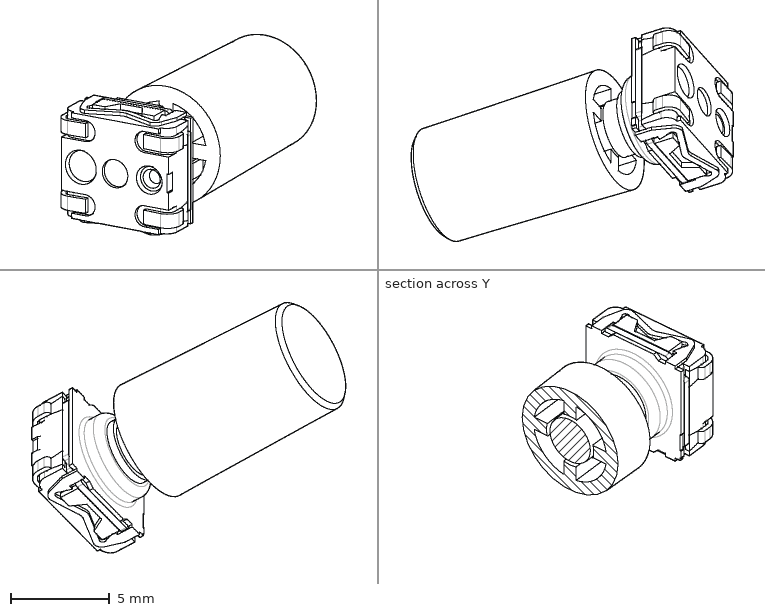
import cadquery as cq
import math

base_bottom = 0.1
recess_top = 0.3
base_top = 2.0
rim_top = 2.37
plate_top = 2.6
dome_top = 3.77
collar_top = 4.17
shoulder_top = 5.11
cap_bottom = 5.2
cap_top = 15.4

base_half_x = 3.14
base_half_z = 2.82
rim_half_x = 3.13
rim_corner_x = 2.79
rim_step_start_z = 1.97
rim_step_end_z = 2.25
rim_corner_radius = 0.18
rim_bulge_half_x = 2.05
rim_bulge_z = 3.1
rim_bulge_radius = 0.18
hook_half_x = 1.8
hook_bottom = 0.92
hook_z = 3.14
hook_notch_top = 1.72
hook_notch_half_top = 0.65
hook_notch_half_bottom = 1.08
corner_radius = 0.6
corner_inner_z = 1.42
foot_recess_outer_z = 2.54
foot_recess_end_x = 1.17
mark_x = 2.0
large_mark_diameter = 1.8
large_mark_floor_diameter = 1.65
large_mark_depth = 0.25
centre_mark_diameter = 1.5
centre_mark_depth = 0.2
stepped_mark_diameter = 1.5
stepped_mark_floor_diameter = 1.31
stepped_mark_depth = 0.25
pilot_diameter = 1.0
pilot_floor_diameter = 0.72
pilot_depth = 0.38
side_notch_depth = 0.11
side_notch_inner_top = 0.7
side_notch_outer_top = 0.46
side_notch_length = 0.99

plate_half_x = 3.1
tab_half_base = 1.62
tab_half_tip = 1.31
tab_z = 3.1
plate_notch_spans = ((-2.19, -1.19), (-base_half_z, -2.65))
plate_notch_depth = 0.06
dome_diameter = 4.7
dome_round = 0.42
dome_foot_round = 0.18
clip_outer_z = 3.0
clip_thickness = clip_outer_z - base_half_z
leg_outer_x = 2.71
leg_inner_x = 2.06
leg_bottom = 1.68

terminal_z = 2.02
terminal_width = 0.75
terminal_thickness = 0.25
terminal_outer_x = 3.4
bend_radius = 0.68
foot_end_x = 1.7
foot_end_lift = 0.05
arm_top = 1.31
arm_top_round = 0.26
tongue_bottom = 1.02
tongue_top_width = 1.0

collar_diameter = 3.5
shoulder_diameter = 2.95
stem_diameter = 2.65
stem_top = 9.24

cap_bottom_diameter = 6.35
cap_upper_diameter = 5.99
cap_chamfer_width = 0.23
cap_chamfer_height = 0.25
cap_cavity_diameter = 4.7
cap_cavity_depth = 3.0
rib_width = 0.8
rib_bore_diameter = 3.03


def at_level(y):
    """Workplane across the Y axis: local x is X, local y is Z; extrude negative to go up Y."""
    return cq.Workplane("XZ", origin=(0, y, 0))


def turned(points):
    """Solid of revolution about the Y axis from (radius, y) points."""
    return cq.Workplane("XY").polyline(points).close().revolve(360, (0, 0), (0, 1))


def both_z_sides(body):
    return body.union(body.mirror("XY"))


def tapered_mark(x, y, mouth_diameter, floor_diameter, depth):
    """Round recess cutter going up from level y, narrowing to its floor."""
    mouth = mouth_diameter / 2
    floor = floor_diameter / 2
    profile = [(0, y), (mouth, y), (floor, y + depth), (0, y + depth)]
    return turned(profile).translate((x, 0, 0))


def make_terminal():
    """Terminal of the +X, +Z corner: tongue in the base wall, outer arm, bend and foot."""
    inner_radius = bend_radius - terminal_thickness
    bend_x = terminal_outer_x - bend_radius
    diagonal = math.sqrt(0.5)
    arm_inner_x = terminal_outer_x - terminal_thickness
    tongue_inner_x = base_half_x - terminal_thickness
    arm = (
        cq.Workplane("XY", origin=(0, 0, terminal_z - terminal_width / 2))
        .moveTo(tongue_inner_x, arm_top)
        .lineTo(terminal_outer_x - arm_top_round, arm_top)
        .radiusArc((terminal_outer_x, arm_top - arm_top_round), arm_top_round)
        .lineTo(terminal_outer_x, bend_radius)
        .threePointArc(
            (bend_x + bend_radius * diagonal, bend_radius * (1 - diagonal)),
            (bend_x, 0),
        )
        .lineTo(foot_end_x, foot_end_lift)
        .lineTo(foot_end_x, terminal_thickness + foot_end_lift)
        .lineTo(bend_x, terminal_thickness)
        .threePointArc(
            (bend_x + inner_radius * diagonal, bend_radius - inner_radius * diagonal),
            (arm_inner_x, bend_radius),
        )
        .lineTo(arm_inner_x, tongue_bottom)
        .lineTo(tongue_inner_x, tongue_bottom)
        .close()
        .extrude(terminal_width)
    )
    tongue = (
        cq.Workplane("YZ", origin=(tongue_inner_x, 0, terminal_z))
        .polyline([
            (base_top, -tongue_top_width / 2),
            (base_top, tongue_top_width / 2),
            (arm_top, terminal_width / 2),
            (arm_top, -terminal_width / 2),
        ])
        .close()
        .extrude(terminal_thickness)
    )
    return arm.union(tongue)


def make_clip():
    """Flat spring clip on the +Z side: two legs joined by a zigzag beam."""
    tooth_x = 1.82
    outer_bottom = (1.91, 0.32)
    outer_corner = (2.37, 0.68)
    outer_mid = (2.19, 0.42)
    outer_peak = (0.18, 0.92)
    outer_peak_mid_y = 0.95
    inner_side = (2.03, 1.02)
    inner_mid = (2.03, 0.75)
    inner_bottom = (1.85, 0.71)
    inner_peak = (0.18, 1.3)
    inner_peak_mid_y = 1.32

    def left(point):
        return (-point[0], point[1])

    return (
        cq.Workplane("XY", origin=(0, 0, base_half_z))
        .moveTo(-leg_outer_x, plate_top)
        .lineTo(-leg_outer_x, leg_bottom)
        .lineTo(*left(outer_corner))
        .threePointArc(left(outer_mid), left(outer_bottom))
        .lineTo(*left(outer_peak))
        .threePointArc((0, outer_peak_mid_y), outer_peak)
        .lineTo(*outer_bottom)
        .threePointArc(outer_mid, outer_corner)
        .lineTo(leg_outer_x, leg_bottom)
        .lineTo(leg_outer_x, plate_top)
        .lineTo(leg_inner_x, plate_top)
        .lineTo(leg_inner_x, leg_bottom)
        .lineTo(tooth_x, leg_bottom)
        .lineTo(*inner_side)
        .threePointArc(inner_mid, inner_bottom)
        .lineTo(*inner_peak)
        .threePointArc((0, inner_peak_mid_y), left(inner_peak))
        .lineTo(*left(inner_bottom))
        .threePointArc(left(inner_mid), left(inner_side))
        .lineTo(-tooth_x, leg_bottom)
        .lineTo(-leg_inner_x, leg_bottom)
        .lineTo(-leg_inner_x, plate_top)
        .close()
        .extrude(clip_thickness)
    )


def make_dome():
    radius = dome_diameter / 2
    diagonal = math.sqrt(0.5)
    foot_inset = dome_foot_round * (1 - diagonal)
    round_inset = dome_round * (1 - diagonal)
    return (
        cq.Workplane("XY")
        .moveTo(0, plate_top)
        .lineTo(radius + dome_foot_round, plate_top)
        .threePointArc((radius + foot_inset, plate_top + foot_inset), (radius, plate_top + dome_foot_round))
        .lineTo(radius, dome_top - dome_round)
        .threePointArc((radius - round_inset, dome_top - round_inset), (radius - dome_round, dome_top))
        .lineTo(0, dome_top)
        .close()
        .revolve(360, (0, 0), (0, 1))
    )


def make_cover():
    thickness = plate_top - rim_top
    plate = at_level(rim_top).rect(2 * plate_half_x, 2 * base_half_z).extrude(-thickness)
    for from_z, to_z in plate_notch_spans:
        notch = (
            at_level(rim_top)
            .center(-plate_half_x, (from_z + to_z) / 2)
            .rect(2 * plate_notch_depth, to_z - from_z)
            .extrude(-thickness)
        )
        plate = plate.cut(notch)
    tab = (
        at_level(rim_top)
        .polyline([
            (-tab_half_base, base_half_z),
            (-tab_half_tip, tab_z),
            (tab_half_tip, tab_z),
            (tab_half_base, base_half_z),
        ])
        .close()
        .extrude(-thickness)
    )
    sides = both_z_sides(tab.union(make_clip()))
    return plate.union(sides).union(make_dome())


def make_rim():
    height = rim_top - base_top
    step_mid_x = (rim_half_x + rim_corner_x) / 2
    step_mid_z = (rim_step_start_z + rim_step_end_z) / 2
    quarter = (
        at_level(base_top)
        .lineTo(rim_half_x, 0)
        .lineTo(rim_half_x, rim_step_start_z)
        .tangentArcPoint((step_mid_x, step_mid_z), relative=False)
        .tangentArcPoint((rim_corner_x, rim_step_end_z), relative=False)
        .lineTo(0, rim_step_end_z)
        .close()
        .extrude(-height)
    )
    half = both_z_sides(quarter)
    middle = half.union(half.mirror("YZ"))
    ends = at_level(base_top).rect(2 * rim_corner_x, 2 * base_half_z).extrude(-height)
    ends = ends.edges("|Y").fillet(rim_corner_radius)
    bulge = at_level(base_top).rect(2 * rim_bulge_half_x, 2 * rim_bulge_z).extrude(-height)
    bulge = bulge.edges("|Y").fillet(rim_bulge_radius)
    return middle.union(ends).union(bulge)


def make_hook():
    """Notched retaining block on the +Z wall."""
    return (
        cq.Workplane("XY", origin=(0, 0, base_half_z))
        .polyline([
            (-hook_half_x, base_top),
            (-hook_half_x, hook_bottom),
            (-hook_notch_half_bottom, hook_bottom),
            (-hook_notch_half_top, hook_notch_top),
            (hook_notch_half_top, hook_notch_top),
            (hook_notch_half_bottom, hook_bottom),
            (hook_half_x, hook_bottom),
            (hook_half_x, base_top),
        ])
        .close()
        .extrude(hook_z - base_half_z)
    )


def make_corner_recess():
    """Cutter for the +X, +Z corner: rounded base corner and the round-ended foot recess."""
    inner_x = base_half_x - corner_radius
    diagonal = corner_radius * math.sqrt(0.5)
    corner = (
        cq.Workplane("XY", origin=(0, 0, corner_inner_z))
        .moveTo(inner_x, 0)
        .lineTo(inner_x, recess_top)
        .threePointArc(
            (inner_x + diagonal, recess_top + corner_radius - diagonal),
            (base_half_x, recess_top + corner_radius),
        )
        .lineTo(base_half_x, 0)
        .close()
        .extrude(base_half_z - corner_inner_z)
    )
    width = foot_recess_outer_z - corner_inner_z
    length = 2 * (inner_x - foot_recess_end_x)
    foot = (
        at_level(0)
        .center(inner_x, corner_inner_z + width / 2)
        .slot2D(length, width)
        .extrude(-recess_top)
    )
    foot = foot.intersect(cq.Workplane("XY").box(2 * inner_x, 2 * base_top, 2 * base_half_z))
    return corner.union(foot)


def make_underside_marks():
    large = tapered_mark(
        -mark_x, base_bottom, large_mark_diameter, large_mark_floor_diameter, large_mark_depth)
    centre = tapered_mark(
        0, base_bottom, centre_mark_diameter, centre_mark_diameter, centre_mark_depth)
    stepped = tapered_mark(
        mark_x, base_bottom, stepped_mark_diameter, stepped_mark_floor_diameter, stepped_mark_depth)
    pilot = tapered_mark(
        mark_x, base_bottom + stepped_mark_depth, pilot_diameter, pilot_floor_diameter, pilot_depth)
    return large.union(centre).union(stepped).union(pilot)


def make_side_notch():
    """Shallow notch at the bottom of the +X wall, under a sloping roof."""
    inner_x = base_half_x - side_notch_depth
    return (
        cq.Workplane("XY", origin=(0, 0, -side_notch_length / 2))
        .polyline([
            (inner_x, base_bottom),
            (inner_x, side_notch_inner_top),
            (base_half_x, side_notch_outer_top),
            (base_half_x, base_bottom),
        ])
        .close()
        .extrude(side_notch_length)
    )


def make_housing():
    base = at_level(base_bottom).rect(2 * base_half_x, 2 * base_half_z).extrude(base_bottom - base_top)
    body = base.union(make_rim()).union(both_z_sides(make_hook()))
    recesses = both_z_sides(make_corner_recess())
    body = body.cut(recesses).cut(recesses.mirror("YZ"))
    return body.cut(make_underside_marks()).cut(make_side_notch())


def make_stem():
    collar = collar_diameter / 2
    shoulder = shoulder_diameter / 2
    stem = stem_diameter / 2
    return turned([
        (0, dome_top),
        (collar, dome_top),
        (collar, collar_top),
        (shoulder, collar_top),
        (shoulder, shoulder_top),
        (stem, shoulder_top),
        (stem, stem_top),
        (0, stem_top),
    ])


def make_cap():
    upper = cap_upper_diameter / 2
    shell = turned([
        (0, cap_bottom),
        (cap_bottom_diameter / 2, cap_bottom),
        (upper, cap_top - cap_chamfer_height),
        (upper - cap_chamfer_width, cap_top),
        (0, cap_top),
    ])
    cavity = at_level(cap_bottom).circle(cap_cavity_diameter / 2).extrude(-cap_cavity_depth)
    for length_x, length_z in ((cap_cavity_diameter, rib_width), (rib_width, cap_cavity_diameter)):
        cavity = cavity.cut(at_level(cap_bottom).rect(length_x, length_z).extrude(-cap_cavity_depth))
    rib_bore = at_level(cap_bottom).circle(rib_bore_diameter / 2).extrude(-cap_cavity_depth)
    stem_socket = at_level(cap_bottom).circle(stem_diameter / 2).extrude(cap_bottom - stem_top)
    return shell.cut(cavity).cut(rib_bore).cut(stem_socket)


terminal = make_terminal()
terminals = []
for side in (terminal, terminal.mirror("YZ")):
    for copy in (side, side.mirror("XY")):
        terminals.append(copy.val())

cover = make_cover()
housing = make_housing().cut(cover)
for solid in terminals:
    housing = housing.cut(cq.Workplane(solid))
stem = make_stem()
cap = make_cap()

result = cq.Compound.makeCompound([housing.val(), cover.val(), stem.val(), cap.val(), *terminals])